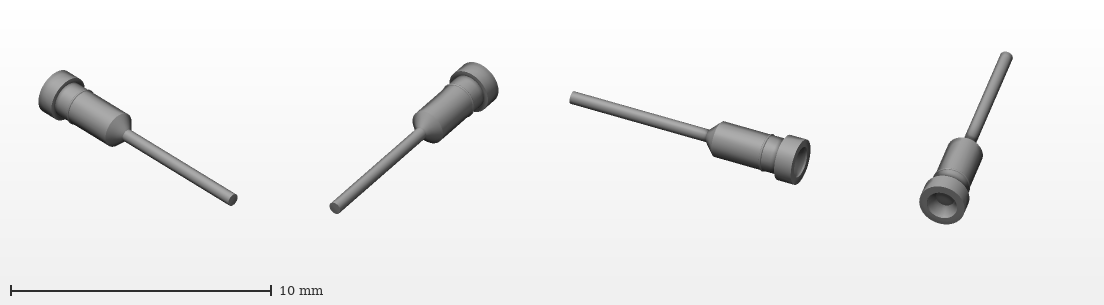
import cadquery as cq

total_length = 9.65
head_length = 0.7
ring_start = 1.35
ring_width = 0.1
body_end = 3.445
taper_length = 0.46

head_diameter = 1.8
body_diameter = 1.42
ring_diameter = 1.5
pin_diameter = 0.5

mouth_diameter = 1.21
mouth_depth = 0.08
floor_diameter = 0.73
socket_depth = 0.5


def make_body():
    """Revolve the stepped head, barrel, taper and pin about the X axis."""
    head_radius = head_diameter / 2
    body_radius = body_diameter / 2
    pin_radius = pin_diameter / 2
    ring_middle = ring_start + ring_width / 2
    profile = (
        cq.Workplane("XZ")
        .lineTo(0, head_radius)
        .lineTo(head_length, head_radius)
        .lineTo(head_length, body_radius)
        .lineTo(ring_start, body_radius)
        .threePointArc((ring_middle, ring_diameter / 2), (ring_start + ring_width, body_radius))
        .lineTo(body_end, body_radius)
        .lineTo(body_end + taper_length, pin_radius)
        .lineTo(total_length, pin_radius)
        .lineTo(total_length, 0)
        .close()
    )
    return profile.revolve(360, (0, 0, 0), (1, 0, 0))


def make_socket():
    """Revolve the hollow of the socket about the X axis."""
    mouth_radius = mouth_diameter / 2
    profile = (
        cq.Workplane("XZ")
        .lineTo(0, mouth_radius)
        .lineTo(mouth_depth, mouth_radius)
        .lineTo(socket_depth, floor_diameter / 2)
        .lineTo(socket_depth, 0)
        .close()
    )
    return profile.revolve(360, (0, 0, 0), (1, 0, 0))


result = make_body().cut(make_socket())